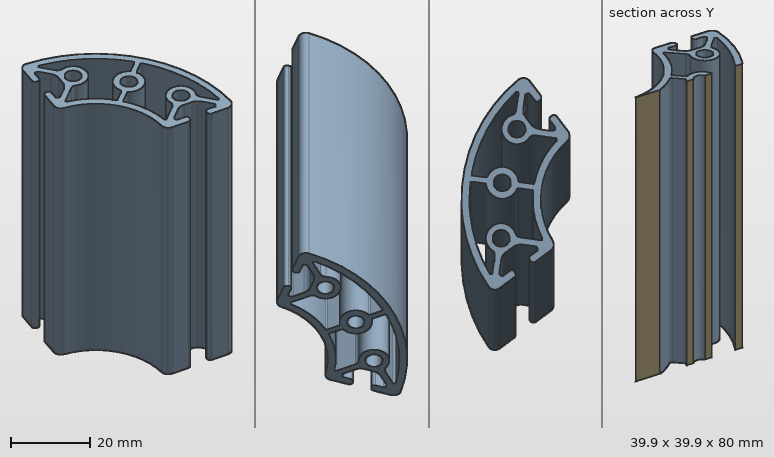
import cadquery as cq
import math

length = 80
outer_radius = 40
inner_radius = 20
wall = 2.0
corner_round = 2.0
cavity_round = 0.4

bore_diameter = 4.3
middle_radius = (outer_radius + inner_radius) / 2
middle_boss_diameter = 8.2
middle_web = 1.5

end_bore_depth = 10.0
end_boss_diameter = 7.7
slot_opening = 5.0
slot_depth = 6.4
slot_width = 11.6
slot_floor_width = 5.0
slot_round = 0.5
slot_floor_round = 3.2
lip_outer_round = 0.9
lip_inner_round = 0.7
slant_web = 1.7
boss_web_round = 1.6


def cylinder(diameter, x=0, y=0):
    return cq.Workplane("XY").center(x, y).circle(diameter / 2).extrude(length)


def quarter_ring(large_radius, small_radius):
    """Ring sector filling the quadrant of negative X and positive Y."""
    quadrant = cq.Workplane("XY").rect(outer_radius, outer_radius).extrude(length)
    quadrant = quadrant.translate((-outer_radius / 2, outer_radius / 2, 0))
    ring = cylinder(2 * large_radius).cut(cylinder(2 * small_radius))
    return ring.intersect(quadrant)


def mirrored_copy(body):
    """Copy a body from the lower end of the sector to the right-hand end."""
    return body.mirror("YZ").rotate((0, 0, 0), (0, 0, 1), 90)


def prism(points):
    return cq.Workplane("XY").polyline(points).close().extrude(length)


def slot():
    """Undercut slot with 45 degree flanks, entering through the lower end."""
    half_floor = slot_floor_width / 2
    half_width = slot_width / 2
    flank_end = slot_depth - (half_width - half_floor)
    pocket = prism([
        (-middle_radius - half_floor, slot_depth),
        (-middle_radius + half_floor, slot_depth),
        (-middle_radius + half_width, flank_end),
        (-middle_radius + half_width, wall),
        (-middle_radius - half_width, wall),
        (-middle_radius - half_width, flank_end),
    ])
    pocket = pocket.edges("|Z and (not >Y)").fillet(slot_round)
    pocket = pocket.faces(">Y").edges("|Z").fillet(slot_floor_round)
    mouth = cq.Workplane("XY").rect(slot_opening, 2 * slot_depth - wall).extrude(length)
    return pocket.union(mouth.translate((-middle_radius, 0, 0)))


def slot_surround():
    """Slanted webs and screw boss that separate the slot from the cavities."""
    apex = slot_floor_width / 2 + slot_depth + slant_web * math.sqrt(2)
    webs = prism([
        (-middle_radius - apex, 0),
        (-middle_radius + apex, 0),
        (-middle_radius, apex),
    ])
    surround = webs.union(cylinder(end_boss_diameter, -middle_radius, end_bore_depth))

    center_to_web = (apex - end_bore_depth) / math.sqrt(2)
    half_chord = math.sqrt((end_boss_diameter / 2) ** 2 - center_to_web ** 2)
    across = (half_chord + center_to_web) / math.sqrt(2)
    depth = apex - across
    for side in (-1, 1):
        corner = (-middle_radius + side * across, depth, length / 2)
        surround = surround.edges(cq.selectors.NearestToPointSelector(corner)).fillet(boss_web_round)
    return surround


middle_offset = middle_radius / math.sqrt(2)
middle_web_body = cq.Workplane("XY").rect(2 * outer_radius, middle_web).extrude(length)
middle_support = middle_web_body.translate((-middle_radius, 0, 0)).rotate((0, 0, 0), (0, 0, 1), -45)
middle_support = middle_support.union(cylinder(middle_boss_diameter, -middle_offset, middle_offset))

cavities = quarter_ring(outer_radius - wall, inner_radius + wall)
cavities = cavities.cut(slot_surround()).cut(mirrored_copy(slot_surround())).cut(middle_support)
cavities = cavities.edges("|Z").fillet(cavity_round)

body = quarter_ring(outer_radius, inner_radius).edges("|Z").fillet(corner_round)
body = body.cut(cavities).cut(slot()).cut(mirrored_copy(slot()))

bore_places = [
    (-middle_radius, end_bore_depth),
    (-middle_offset, middle_offset),
    (-end_bore_depth, middle_radius),
]
for x, y in bore_places:
    body = body.cut(cylinder(bore_diameter, x, y))


def round_lips(body, depth, radius):
    """Round the four slot-lip edges that lie at one depth below the end faces."""
    for side in (-1, 1):
        across = -middle_radius + side * slot_opening / 2
        for x, y in ((across, depth), (-depth, -across)):
            edge = cq.selectors.NearestToPointSelector((x, y, length / 2))
            body = body.edges(edge).fillet(radius)
    return body


body = round_lips(body, 0, lip_outer_round)
result = round_lips(body, wall, lip_inner_round)